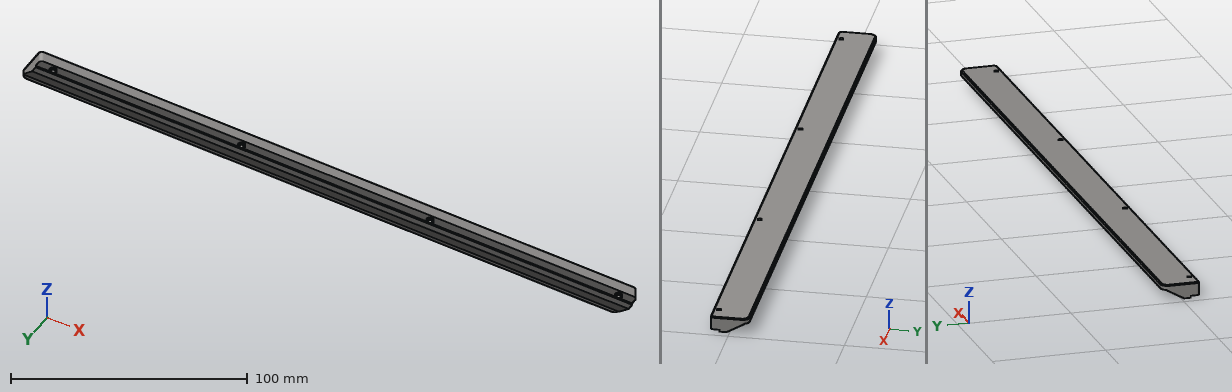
import cadquery as cq
length = 292.85
depth = 16.47
height = 6.73

back_lip_height = 2.3
back_lip_flat = 1.7
bottom_depth = 7.0
step_rise = 0.86
step_depth = 4.0

front_corner_radius = 1.6
back_corner_radius = 3.1
edge_chamfer = 0.5

hole_count = 4
hole_pitch = 92.5
hole_diameter = 1.8
standoff_diameter = 3.2
hole_inset = 2.4

front = -depth / 2
back = depth / 2


def wedge_bar():
    section = [
        (front, step_rise),
        (front + step_depth, step_rise),
        (front + step_depth, 0),
        (front + bottom_depth, 0),
        (back - back_lip_flat, height - back_lip_height),
        (back, height - back_lip_height),
        (back, height),
        (front, height),
    ]
    bar = cq.Workplane("YZ").polyline(section).close().extrude(length / 2, both=True)
    bar = bar.edges("|Z and <Y").fillet(front_corner_radius)
    bar = bar.edges("|Z and >Y").fillet(back_corner_radius)
    return bar.faces(">Z").edges().chamfer(edge_chamfer)


def cylinders_along_front(diameter, cylinder_height):
    first_x = -hole_pitch * (hole_count - 1) / 2
    centers = [(first_x + i * hole_pitch, front + hole_inset) for i in range(hole_count)]
    return cq.Workplane("XY").pushPoints(centers).circle(diameter / 2).extrude(cylinder_height)


standoffs = cylinders_along_front(standoff_diameter, step_rise)
holes = cylinders_along_front(hole_diameter, height)

result = wedge_bar().union(standoffs).cut(holes)